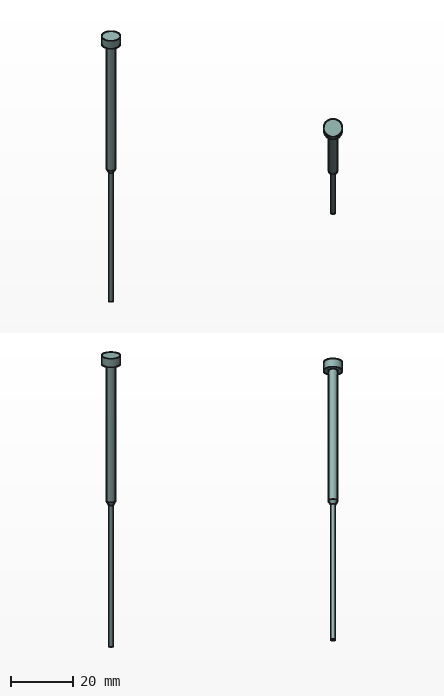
import cadquery as cq

total_length = 100.0
head_diameter = 6.0
head_height = 3.0
shank_diameter = 3.0
tip_diameter = 1.5
tip_length = 48.6
shank_bottom = 50.0

head_radius = head_diameter / 2
shank_radius = shank_diameter / 2
tip_radius = tip_diameter / 2
head_bottom = total_length - head_height

profile = (
    cq.Workplane("XZ")
    .moveTo(0, 0)
    .lineTo(tip_radius, 0)
    .lineTo(tip_radius, tip_length)
    .lineTo(shank_radius, shank_bottom)
    .lineTo(shank_radius, head_bottom)
    .lineTo(head_radius, head_bottom)
    .lineTo(head_radius, total_length)
    .lineTo(0, total_length)
    .close()
)

result = profile.revolve(360, (0, 0, 0), (0, 1, 0))